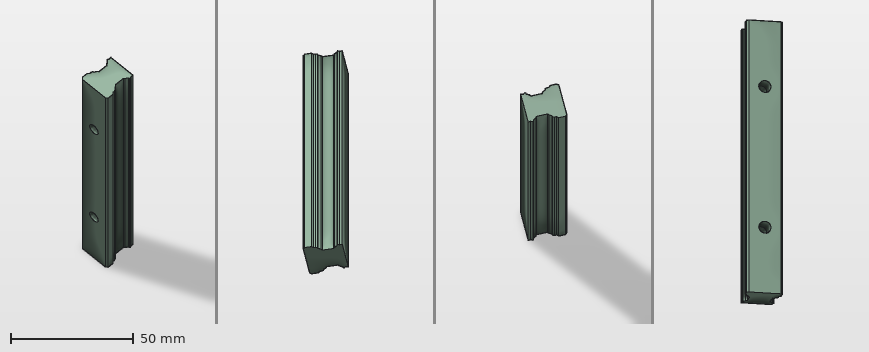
import cadquery as cq
import math

BASE_WIDTH = 15.0
RAIL_HEIGHT = 16.2
RAIL_LENGTH = 116.0

BASE_CHAMFER = 0.75
BASE_SIDE_TOP = 3.6
SHOULDER_WIDTH = 13.6
SHOULDER_BOTTOM = 4.3
SHOULDER_TOP = 5.1

GROOVE_MID_HEIGHT = 9.95
WEB_WIDTH = 9.5
WEB_HALF_HEIGHT = 2.3
RACE_INNER_WIDTH = 10.7
RACE_INNER_OFFSET = 2.75
RACE_OUTER_WIDTH = 12.2
RACE_OUTER_OFFSET = 3.95
RACE_SAG = 0.06
RIM_WIDTH = 13.0
RIM_OFFSET = 4.05

LIP_HEIGHT = 14.35
HEAD_NECK_WIDTH = 12.6
HEAD_NECK_HEIGHT = 15.1
HEAD_TOP_WIDTH = 13.0

HOLE_DIAMETER = 5.0
HOLE_DEPTH = 8.0
HOLE_PITCH = 60.0
DRILL_POINT_ANGLE = 90.0


def race_middle():
    """Half width and offset of the middle point of the concave race arc."""
    run = (RACE_OUTER_WIDTH - RACE_INNER_WIDTH) / 2
    rise = RACE_OUTER_OFFSET - RACE_INNER_OFFSET
    chord = math.hypot(run, rise)
    half_width = (RACE_INNER_WIDTH + RACE_OUTER_WIDTH) / 4 - RACE_SAG * rise / chord
    offset = (RACE_INNER_OFFSET + RACE_OUTER_OFFSET) / 2 + RACE_SAG * run / chord
    return half_width, offset


def half_section():
    """Right half of the rail section, closed along the mid plane, base on Y = 0."""
    mid = GROOVE_MID_HEIGHT
    arc_half_width, arc_offset = race_middle()
    inner = RACE_INNER_WIDTH / 2
    outer = RACE_OUTER_WIDTH / 2
    return (
        cq.Workplane("XY")
        .moveTo(0, 0)
        .lineTo(BASE_WIDTH / 2 - BASE_CHAMFER, 0)
        .lineTo(BASE_WIDTH / 2, BASE_CHAMFER)
        .lineTo(BASE_WIDTH / 2, BASE_SIDE_TOP)
        .lineTo(SHOULDER_WIDTH / 2, SHOULDER_BOTTOM)
        .lineTo(SHOULDER_WIDTH / 2, SHOULDER_TOP)
        .lineTo(RIM_WIDTH / 2, mid - RIM_OFFSET)
        .lineTo(outer, mid - RACE_OUTER_OFFSET)
        .threePointArc((arc_half_width, mid - arc_offset), (inner, mid - RACE_INNER_OFFSET))
        .lineTo(WEB_WIDTH / 2, mid - WEB_HALF_HEIGHT)
        .lineTo(WEB_WIDTH / 2, mid + WEB_HALF_HEIGHT)
        .lineTo(inner, mid + RACE_INNER_OFFSET)
        .threePointArc((arc_half_width, mid + arc_offset), (outer, mid + RACE_OUTER_OFFSET))
        .lineTo(RIM_WIDTH / 2, mid + RIM_OFFSET)
        .lineTo(SHOULDER_WIDTH / 2, LIP_HEIGHT)
        .lineTo(HEAD_NECK_WIDTH / 2, HEAD_NECK_HEIGHT)
        .lineTo(HEAD_TOP_WIDTH / 2, RAIL_HEIGHT)
        .lineTo(0, RAIL_HEIGHT)
        .close()
    )


def rail_body():
    """Extruded symmetric rail centred on the origin in all directions."""
    right_half = half_section().extrude(RAIL_LENGTH)
    full = right_half.union(right_half.mirror("YZ"), clean=True)
    return full.translate((0, -RAIL_HEIGHT / 2, -RAIL_LENGTH / 2))


def screw_hole(z):
    """Cutter for one blind hole with a drill point, entering the base along +Y."""
    radius = HOLE_DIAMETER / 2
    point_length = radius / math.tan(math.radians(DRILL_POINT_ANGLE / 2))
    profile = (
        cq.Workplane("XY")
        .polyline([(0, 0), (radius, 0), (radius, HOLE_DEPTH), (0, HOLE_DEPTH + point_length)])
        .close()
    )
    return profile.revolve(360, (0, 0, 0), (0, 1, 0)).translate((0, -RAIL_HEIGHT / 2, z))


result = rail_body()
for hole_z in (-HOLE_PITCH / 2, HOLE_PITCH / 2):
    result = result.cut(screw_hole(hole_z))